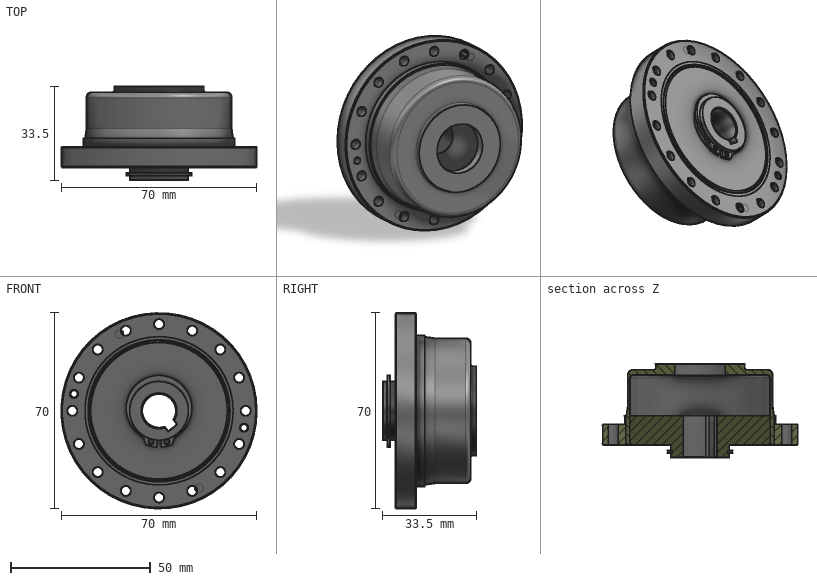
import cadquery as cq
import math


HUB_FRONT_Y = -4.5
RIM_FRONT_Y = 0.0
FLANGE_REAR_Y = 7.5
SPLINE_REAR_Y = 10.5
FLARE_END_Y = 14.0
CUP_REAR_Y = 27.0
BOSS_REAR_Y = 29.0

FLANGE_RADIUS = 35.0
FLANGE_CHAMFER = 0.4
SHOULDER_RADIUS = 27.1
BOLT_CIRCLE_RADIUS = 31.0
BOLT_COUNT = 16
BOLT_HOLE_DIAMETER = 3.5
THREAD_DIAMETER = 3.0
TAP_DIAMETER = 2.5
TAP_CHAMFER = (THREAD_DIAMETER - TAP_DIAMETER) / 2
COUNTERSINK_TAPER = 45
TAPPED_HOLE_ANGLES = (168.75, 348.75)
THREAD_SLEEVE_ANGLES = (117.4, 297.4)

RIM_RADIUS = 26.5
CUP_RADIUS = 26.0
CUP_CAVITY_RADIUS = 25.0
CUP_CORNER_RADIUS = 2.0
CUP_FLOOR_THICKNESS = 2.0
RIM_CHAMFER = 0.4
BOSS_RADIUS = 16.0
BOSS_ROOT_RADIUS = 0.5
BOSS_HOLE_RADIUS = 9.0

DISC_REAR_Y = SPLINE_REAR_Y
DISC_CHAMFER = 0.6
HUB_RADIUS = 10.5
BORE_RADIUS = 6.0
BORE_CHAMFER = 0.4
KEYWAY_WIDTH = 4.0
KEYWAY_REACH = 7.8
KEYWAY_ANGLE = -51.3

GROOVE_RADIUS = 10.0
GROOVE_WIDTH = 1.1
RING_THICKNESS = 1.0
RING_SETBACK = 1.6
RING_FRONT_Y = HUB_FRONT_Y + RING_SETBACK
RING_REAR_Y = RING_FRONT_Y + RING_THICKNESS
GROOVE_FRONT_Y = RING_REAR_Y - GROOVE_WIDTH
RING_OUTER_RADIUS = 11.75
RING_OFFSET_Z = 0.9
LUG_RADIUS = 13.0
LUG_FOOT_X = 4.75
LUG_SHOULDER_X = 5.45
LUG_SHOULDER_Z = -9.9
LUG_HOLE_RADIUS = 1.0
LUG_HOLE_X = 2.8
LUG_HOLE_Z = -11.05
RING_GAP = 1.48


def facing_rear(front_y):
    """Workplane at front_y with local x along X and local y along Z."""
    return cq.Workplane("XZ", origin=(0, front_y, 0))


def prism(sketch, length):
    """Extrude a facing_rear sketch toward +Y."""
    return sketch.extrude(-length)


def disc(radius, front_y, rear_y):
    """Cylinder about the Y axis."""
    return prism(facing_rear(front_y).circle(radius), rear_y - front_y)


def bolt_circle_points(angles):
    """Points on the bolt circle at the given angles, measured from +X toward +Z."""
    return [
        (BOLT_CIRCLE_RADIUS * math.cos(math.radians(a)), BOLT_CIRCLE_RADIUS * math.sin(math.radians(a)))
        for a in angles
    ]


def tap_shape(angles):
    """Tapped holes through the flange, as solids, with their front countersinks."""
    points = bolt_circle_points(angles)
    drills = prism(facing_rear(RIM_FRONT_Y).pushPoints(points).circle(TAP_DIAMETER / 2), FLANGE_REAR_Y)
    sinks = (
        facing_rear(RIM_FRONT_Y)
        .pushPoints(points)
        .circle(THREAD_DIAMETER / 2)
        .extrude(-TAP_CHAMFER, taper=COUNTERSINK_TAPER)
    )
    return drills.union(sinks)


def make_circular_spline():
    flange = disc(FLANGE_RADIUS, RIM_FRONT_Y, FLANGE_REAR_Y).edges().chamfer(FLANGE_CHAMFER)
    body = flange.union(disc(SHOULDER_RADIUS, FLANGE_REAR_Y, SPLINE_REAR_Y))
    body = body.cut(disc(RIM_RADIUS, RIM_FRONT_Y, SPLINE_REAR_Y))

    bolt_angles = [i * 360 / BOLT_COUNT for i in range(BOLT_COUNT)]
    bolt_holes = facing_rear(RIM_FRONT_Y).pushPoints(bolt_circle_points(bolt_angles))
    body = body.cut(prism(bolt_holes.circle(BOLT_HOLE_DIAMETER / 2), FLANGE_REAR_Y))
    body = body.cut(tap_shape(TAPPED_HOLE_ANGLES))

    sleeve_places = facing_rear(RIM_FRONT_Y).pushPoints(bolt_circle_points(THREAD_SLEEVE_ANGLES))
    sleeves = prism(sleeve_places.circle(THREAD_DIAMETER / 2), FLANGE_REAR_Y)
    sleeves = sleeves.cut(tap_shape(THREAD_SLEEVE_ANGLES))
    return body.union(sleeves, clean=False)


def make_flexspline():
    corner = CUP_CORNER_RADIUS * math.sqrt(0.5)
    corner_y = CUP_REAR_Y - CUP_CORNER_RADIUS
    corner_r = CUP_RADIUS - CUP_CORNER_RADIUS
    outside = (
        cq.Workplane("XY")
        .moveTo(0, RIM_FRONT_Y)
        .lineTo(RIM_RADIUS, RIM_FRONT_Y)
        .lineTo(RIM_RADIUS, SPLINE_REAR_Y)
        .lineTo(CUP_RADIUS, FLARE_END_Y)
        .lineTo(CUP_RADIUS, corner_y)
        .threePointArc((corner_r + corner, corner_y + corner), (corner_r, CUP_REAR_Y))
        .lineTo(BOSS_RADIUS + BOSS_ROOT_RADIUS, CUP_REAR_Y)
        .radiusArc((BOSS_RADIUS, CUP_REAR_Y + BOSS_ROOT_RADIUS), BOSS_ROOT_RADIUS)
        .lineTo(BOSS_RADIUS, BOSS_REAR_Y)
        .lineTo(0, BOSS_REAR_Y)
        .close()
        .revolve(360, (0, 0, 0), (0, 1, 0))
    )
    wall = CUP_RADIUS - CUP_CAVITY_RADIUS
    cavity = (
        disc(CUP_CAVITY_RADIUS, RIM_FRONT_Y, CUP_REAR_Y - CUP_FLOOR_THICKNESS)
        .faces(">Y")
        .edges()
        .fillet(CUP_CORNER_RADIUS - wall)
    )
    body = outside.cut(cavity).cut(disc(BOSS_HOLE_RADIUS, RIM_FRONT_Y, BOSS_REAR_Y))
    return body.faces("<Y").edges(cq.selectors.RadiusNthSelector(0)).chamfer(RIM_CHAMFER)


def make_wave_generator():
    plate = disc(CUP_CAVITY_RADIUS, RIM_FRONT_Y, DISC_REAR_Y).faces("<Y").edges().chamfer(DISC_CHAMFER)
    body = plate.union(disc(HUB_RADIUS, HUB_FRONT_Y, RIM_FRONT_Y))
    body = body.cut(disc(BORE_RADIUS, HUB_FRONT_Y, DISC_REAR_Y))
    body = body.faces("<Y").edges(cq.selectors.RadiusNthSelector(0)).chamfer(BORE_CHAMFER)

    keyway = prism(
        facing_rear(HUB_FRONT_Y).center(KEYWAY_REACH / 2, 0).rect(KEYWAY_REACH, KEYWAY_WIDTH),
        DISC_REAR_Y - HUB_FRONT_Y,
    )
    body = body.cut(keyway.rotate((0, 0, 0), (0, -1, 0), KEYWAY_ANGLE))

    groove_floor = disc(GROOVE_RADIUS, GROOVE_FRONT_Y, RING_REAR_Y)
    groove = disc(HUB_RADIUS, GROOVE_FRONT_Y, RING_REAR_Y).cut(groove_floor)
    return body.cut(groove)


def make_retaining_ring():
    band = prism(facing_rear(RING_FRONT_Y).center(0, RING_OFFSET_Z).circle(RING_OUTER_RADIUS), RING_THICKNESS)

    shoulder_drop = RING_OFFSET_Z - LUG_SHOULDER_Z
    shoulder_distance = math.hypot(LUG_SHOULDER_X, shoulder_drop)
    touch_angle = math.atan2(LUG_SHOULDER_X, shoulder_drop) + math.acos(RING_OUTER_RADIUS / shoulder_distance)
    touch_x = RING_OUTER_RADIUS * math.sin(touch_angle)
    touch_z = RING_OFFSET_Z - RING_OUTER_RADIUS * math.cos(touch_angle)
    foot_z = -math.sqrt(LUG_RADIUS**2 - LUG_FOOT_X**2)

    lugs = (
        facing_rear(RING_FRONT_Y)
        .moveTo(-touch_x, touch_z)
        .lineTo(-LUG_SHOULDER_X, LUG_SHOULDER_Z)
        .lineTo(-LUG_FOOT_X, foot_z)
        .threePointArc((0, -LUG_RADIUS), (LUG_FOOT_X, foot_z))
        .lineTo(LUG_SHOULDER_X, LUG_SHOULDER_Z)
        .lineTo(touch_x, touch_z)
        .close()
    )
    ring = band.union(prism(lugs, RING_THICKNESS))
    ring = ring.cut(disc(GROOVE_RADIUS, RING_FRONT_Y, RING_REAR_Y))
    gap = facing_rear(RING_FRONT_Y).center(0, -LUG_RADIUS / 2).rect(RING_GAP, LUG_RADIUS)
    ring = ring.cut(prism(gap, RING_THICKNESS))
    holes = facing_rear(RING_FRONT_Y).pushPoints([(-LUG_HOLE_X, LUG_HOLE_Z), (LUG_HOLE_X, LUG_HOLE_Z)])
    return ring.cut(prism(holes.circle(LUG_HOLE_RADIUS), RING_THICKNESS))


circular_spline = make_circular_spline()
flexspline = make_flexspline()
wave_generator = make_wave_generator()
retaining_ring = make_retaining_ring()

result = cq.Compound.makeCompound(
    [circular_spline.val(), flexspline.val(), wave_generator.val(), retaining_ring.val()]
)